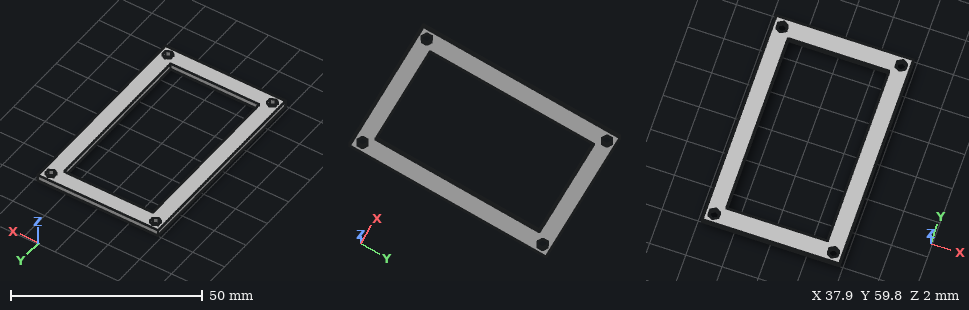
import cadquery as cq

frame_length_x = 37.94
frame_length_y = 59.78
thickness = 2.0
rim_width = 5.0

hex_sides = 6
hex_across_corners = 3.0
hole_inset = 2.5


def frame_plate():
    """Flat rectangular plate with a rectangular window leaving an even rim."""
    plate = cq.Workplane("XY").rect(frame_length_x, frame_length_y)
    window_x = frame_length_x - 2 * rim_width
    window_y = frame_length_y - 2 * rim_width
    return plate.rect(window_x, window_y).extrude(thickness)


def corner_holes():
    """Hexagonal prisms centred on the rim at the four corners."""
    spacing_x = frame_length_x - 2 * hole_inset
    spacing_y = frame_length_y - 2 * hole_inset
    hexagon = cq.Sketch().regularPolygon(hex_across_corners / 2, hex_sides)
    centres = cq.Workplane("XY").rect(spacing_x, spacing_y, forConstruction=True).vertices()
    return centres.placeSketch(hexagon).extrude(thickness)


result = frame_plate().cut(corner_holes())